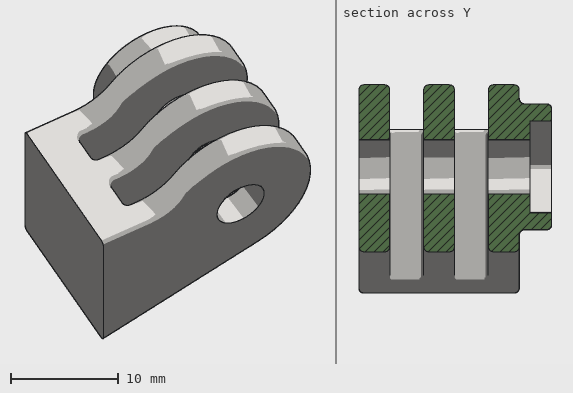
import cadquery as cq
import math

fin_count = 3
fin_width = 2.9
slot_width = 3.11
fin_pitch = fin_width + slot_width
body_width = fin_count * fin_width + (fin_count - 1) * slot_width

slot_end_thickness = 3.95
total_length = 22.25
total_height = 19.37
block_height = 15.2
eye_radius = 7.65
neck_radius = 5.0
front_y = eye_radius - total_length
bottom_z = eye_radius - total_height
block_top_z = bottom_z + block_height
slot_end_y = front_y + slot_end_thickness

boss_diameter = 11.7
boss_height = 3.0
bore_diameter = 5.0
hex_across_flats = 8.5
hex_depth = 2.0
hex_corner_radius = 0.5

edge_radius = 0.5
slot_corner_radius = edge_radius


def eye_point(angle):
    """Point of the eye circle at an angle measured from +Y towards +Z."""
    return eye_radius * math.cos(angle), eye_radius * math.sin(angle)


def make_body():
    neck_z = block_top_z + neck_radius
    neck_y = -math.sqrt((eye_radius + neck_radius) ** 2 - neck_z**2)
    neck_angle = math.atan2(neck_z, neck_y)
    neck_middle_angle = (neck_angle - math.pi / 2) / 2
    neck_middle = (
        neck_y + neck_radius * math.sin(neck_middle_angle),
        neck_z - neck_radius * math.cos(neck_middle_angle),
    )

    corner_distance = math.hypot(front_y, bottom_z)
    corner_angle = math.atan2(bottom_z, front_y)
    under_angle = corner_angle + math.acos(eye_radius / corner_distance)

    return (
        cq.Workplane("YZ")
        .moveTo(front_y, bottom_z)
        .lineTo(front_y, block_top_z)
        .lineTo(neck_y, block_top_z)
        .threePointArc(neck_middle, eye_point(neck_angle))
        .threePointArc((eye_radius, 0), eye_point(under_angle))
        .close()
        .extrude(body_width)
    )


def make_slot(index):
    slot_length = eye_radius - slot_end_y + edge_radius
    return (
        cq.Workplane("XY")
        .box(slot_width, slot_length, 2 * total_height, centered=(False, False, True))
        .edges("|Z and <Y")
        .fillet(slot_corner_radius)
        .translate((fin_width + index * fin_pitch, slot_end_y, 0))
    )


def round_rims(body):
    return body.edges("not (|X or |Z)").fillet(edge_radius)


def make_boss():
    boss = cq.Workplane("YZ").circle(boss_diameter / 2).extrude(-boss_height)
    return boss.faces("<X").edges().fillet(edge_radius)


def make_boss_base():
    boss_radius = boss_diameter / 2
    inset = edge_radius * (1 - math.sqrt(0.5))
    return (
        cq.Workplane("XY")
        .lineTo(0, boss_radius + edge_radius)
        .threePointArc((-inset, boss_radius + inset), (-edge_radius, boss_radius))
        .lineTo(-edge_radius, 0)
        .close()
        .revolve(360, (0, 0, 0), (1, 0, 0))
    )


def make_nut_pocket():
    hex_across_corners = hex_across_flats / math.cos(math.pi / 6)
    return (
        cq.Workplane("YZ", origin=(-boss_height, 0, 0))
        .polygon(6, hex_across_corners)
        .extrude(hex_depth)
        .edges("|X")
        .fillet(hex_corner_radius)
    )


def make_bore():
    bore = cq.Workplane("YZ", origin=(-boss_height, 0, 0)).circle(bore_diameter / 2)
    return bore.extrude(boss_height + body_width)


body = make_body()
for slot_index in range(fin_count - 1):
    body = body.cut(make_slot(slot_index))
body = round_rims(body)

result = body.union(make_boss()).union(make_boss_base()).cut(make_nut_pocket()).cut(make_bore())